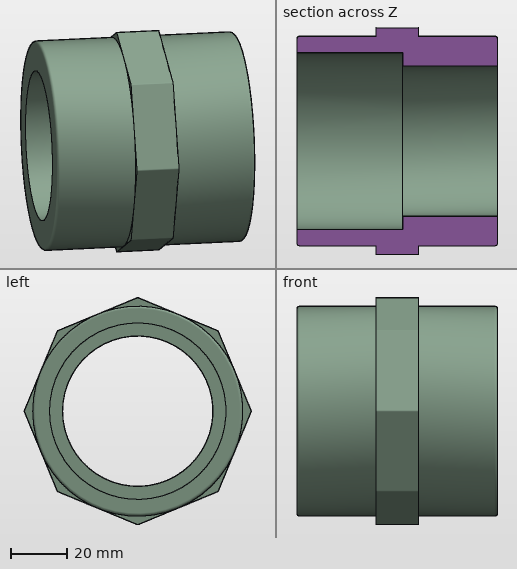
import cadquery as cq
import math

length = 71.7
body_diameter = 75.0
rim_radius = 1.0

grip_width = 15.25
grip_size = 81.1
grip_sides = 8
grip_corner_radius = 0.65

socket_diameter = 63.0
socket_depth = 37.8
bore_diameter = 53.6

corner_loss = grip_corner_radius * (1 / math.cos(math.pi / grip_sides) - 1)
grip_sharp_size = grip_size + 2 * corner_loss
socket_end = -length / 2


def cylinder_along_x(diameter, start, span):
    return cq.Workplane("YZ", origin=(start, 0, 0)).circle(diameter / 2).extrude(span)


body = cylinder_along_x(body_diameter, socket_end, length).edges().fillet(rim_radius)

grip = (
    cq.Workplane("YZ", origin=(-grip_width / 2, 0, 0))
    .polygon(grip_sides, grip_sharp_size)
    .extrude(grip_width)
    .edges("|X")
    .fillet(grip_corner_radius)
)

bore = cylinder_along_x(bore_diameter, socket_end, length)
socket = cylinder_along_x(socket_diameter, socket_end, socket_depth)

result = body.union(grip).cut(bore).cut(socket)